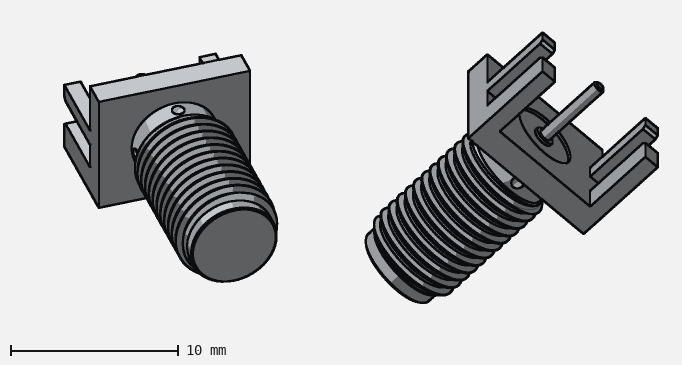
import cadquery as cq
import math


LENGTH = 17.45

FLANGE_WIDTH = 9.53
FLANGE_HEIGHT = 7.92
FLANGE_BACK = 4.75
FLANGE_FRONT = 6.39
LEG_WIDTH = 1.03
LEG_CHAMFER = 0.21
UPPER_LEG_TOP = 0.66
UPPER_LEG_BOTTOM = -0.4
LOWER_LEG_TOP = -2.08

PIN_DIAMETER = 0.77
PIN_CHAMFER = 0.1
INSULATOR_DIAMETER = 4.2
INSULATOR_RECESS = 0.2
COLLAR_DIAMETER = 1.27
COLLAR_HEIGHT = INSULATOR_RECESS

BARREL_DIAMETER = 5.4
BARREL_CHAMFER = 0.09
DIMPLE_X = 7.08
DIMPLE_BALL_DIAMETER = 0.98
DIMPLE_BALL_LIFT = 0.28
DIMPLE_COUNT = 4

THREAD_START = 7.8
THREAD_END = 16.63
THREAD_DIAMETER = 6.35
THREAD_ROOT_DIAMETER = 5.62
TURNS_PER_DIAMETER = 9
THREAD_PITCH = THREAD_DIAMETER / TURNS_PER_DIAMETER
THREAD_FLANK_ANGLE = 30.0
THREAD_CREST_WIDTH = THREAD_PITCH / 8
THREAD_EMBED = 0.07
FIRST_CREST_X = 7.63
CORE_OVERRUN = 1.75
TRIM_MARGIN = 0.35


def cylinder_x(diameter, x_start, x_end):
    """Cylinder on the X axis between two X positions."""
    return cq.Workplane("YZ", origin=(x_start, 0, 0)).circle(diameter / 2).extrude(x_end - x_start)


def flange():
    return cq.Workplane("XY").box(
        FLANGE_FRONT - FLANGE_BACK, FLANGE_WIDTH, FLANGE_HEIGHT, centered=(False, True, True)
    ).translate((FLANGE_BACK, 0, 0))


def leg(bottom, top, side, chamfered_edge):
    """Leg flush with one side of the flange, its tip chamfered on one edge."""
    y_centre = side * (FLANGE_WIDTH - LEG_WIDTH) / 2
    body = cq.Workplane("XY").box(FLANGE_FRONT, LEG_WIDTH, top - bottom, centered=(False, True, False))
    return body.faces("<X").edges(chamfered_edge).chamfer(LEG_CHAMFER).translate((0, y_centre, bottom))


def pin():
    shaft = cylinder_x(PIN_DIAMETER, 0, FLANGE_FRONT).faces("<X").chamfer(PIN_CHAMFER)
    insulator_face = FLANGE_BACK + INSULATOR_RECESS
    collar = cylinder_x(COLLAR_DIAMETER, insulator_face - COLLAR_HEIGHT, FLANGE_FRONT)
    return shaft.union(collar)


def barrel():
    return cylinder_x(BARREL_DIAMETER, FLANGE_FRONT, LENGTH).faces(">X").chamfer(BARREL_CHAMFER)


def thread_ridge():
    """Right-hand helical ridge, longer than the finished thread at both ends."""
    crest_radius = THREAD_DIAMETER / 2
    inner_radius = THREAD_ROOT_DIAMETER / 2 - THREAD_EMBED
    crest_half = THREAD_CREST_WIDTH / 2
    flank_run = (crest_radius - inner_radius) * math.tan(math.radians(THREAD_FLANK_ANGLE))
    inner_half = crest_half + flank_run
    turns = math.ceil((THREAD_END - FIRST_CREST_X) / THREAD_PITCH) + 1
    helix = cq.Wire.makeHelix(THREAD_PITCH, turns * THREAD_PITCH, inner_radius)
    profile = cq.Workplane("XZ").polyline([
        (inner_radius, -inner_half),
        (crest_radius, -crest_half),
        (crest_radius, crest_half),
        (inner_radius, inner_half),
    ]).close()
    ridge = profile.sweep(cq.Workplane(obj=helix), isFrenet=True)
    return ridge.rotate((0, 0, 0), (0, 1, 0), 90).translate((FIRST_CREST_X, 0, 0))


def thread_envelope():
    """Solid that bevels both thread ends at 45 degrees down to the barrel."""
    barrel_radius = BARREL_DIAMETER / 2
    bevel = THREAD_DIAMETER / 2 + TRIM_MARGIN - barrel_radius
    return cq.Workplane("XY").polyline([
        (THREAD_START, 0),
        (THREAD_START, barrel_radius),
        (THREAD_START + bevel, barrel_radius + bevel),
        (THREAD_END - bevel, barrel_radius + bevel),
        (THREAD_END, barrel_radius),
        (THREAD_END, 0),
    ]).close().revolve(360, (0, 0, 0), (1, 0, 0))


def thread():
    """Threaded stretch: core and ridge run past both ends and are trimmed by the envelope."""
    core = cylinder_x(THREAD_ROOT_DIAMETER, FLANGE_FRONT, LENGTH + CORE_OVERRUN)
    return core.union(thread_ridge()).intersect(thread_envelope())


def dimple(angle):
    """Ball cutter for one spherical dimple, turned about the barrel axis from +Z."""
    centre_height = BARREL_DIAMETER / 2 + DIMPLE_BALL_LIFT
    ball = cq.Workplane("XY").sphere(DIMPLE_BALL_DIAMETER / 2).translate((DIMPLE_X, 0, centre_height))
    return ball.rotate((0, 0, 0), (1, 0, 0), angle)


result = flange()
for side in (-1, 1):
    result = result.union(leg(UPPER_LEG_BOTTOM, UPPER_LEG_TOP, side, "<Z"))
    result = result.union(leg(-FLANGE_HEIGHT / 2, LOWER_LEG_TOP, side, ">Z"))
result = result.cut(cylinder_x(INSULATOR_DIAMETER, FLANGE_BACK, FLANGE_BACK + INSULATOR_RECESS))
result = result.union(pin())
result = result.union(barrel()).union(thread())
for index in range(DIMPLE_COUNT):
    result = result.cut(dimple(index * 360 / DIMPLE_COUNT))